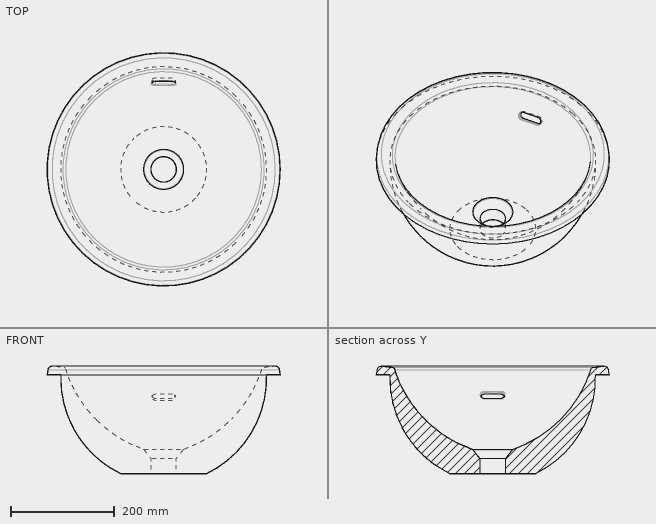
import cadquery as cq
import math

rim_radius = 225.0
total_height = 208.0

rim_thickness = 17.0
rim_bottom = total_height - rim_thickness
rim_draft = 1.5
rim_rounding = 8.5
rim_side_top = 200.2
shelf_inner_height = 205.0
lip_rounding = 5.5

outer_top_radius = 198.5
outer_middle = (163.5, 69.8)
base_radius = 83.0

inner_top_radius = 188.5
inner_middle = (166.5, 151.0)
drain_top_radius = 38.5
drain_top_height = 47.2

drain_hole_radius = 48.5 / 2
drain_edge = 1.5
funnel_depth = 18.0

slot_length = 45.0
slot_height = 13.5
slot_depth = 7.0
slot_tilt = 30.0
slot_edge_rounding = 2.0


def make_bowl():
    """Revolve the half section of the basin, drain included, about Z."""
    rim_side_radius = rim_radius - rim_draft
    return (
        cq.Workplane("XZ")
        .moveTo(drain_hole_radius, 0)
        .lineTo(base_radius, 0)
        .threePointArc(outer_middle, (outer_top_radius, rim_bottom))
        .lineTo(rim_radius, rim_bottom)
        .lineTo(rim_side_radius, rim_side_top)
        .radiusArc((rim_side_radius - rim_rounding, total_height), -rim_rounding)
        .lineTo(inner_top_radius + lip_rounding, shelf_inner_height)
        .radiusArc((inner_top_radius, shelf_inner_height - lip_rounding), -lip_rounding)
        .threePointArc(inner_middle, (drain_top_radius, drain_top_height))
        .lineTo(drain_top_radius - drain_edge, drain_top_height - drain_edge)
        .lineTo(drain_hole_radius, drain_top_height - funnel_depth)
        .close()
        .revolve(360, (0, 0, 0), (0, 1, 0))
    )


def cut_overflow(bowl):
    """Cut the overflow slot into the inner wall and round its mouth."""
    wall_radius, wall_height = inner_middle
    tilt = math.radians(slot_tilt)
    into_wall = cq.Vector(0, math.cos(tilt), -math.sin(tilt))
    mouth_center = cq.Vector(0, wall_radius, wall_height)
    slot = (
        cq.Workplane(cq.Plane(mouth_center, (1, 0, 0), into_wall))
        .workplane(offset=-slot_height)
        .slot2D(slot_length, slot_height)
        .extrude(slot_height + slot_depth)
    )
    pocketed = bowl.cut(slot)
    reach = slot_length / 2 + slot_edge_rounding
    near_slot = cq.selectors.BoxSelector(
        (-reach, wall_radius - slot_height, wall_height - slot_height),
        (reach, wall_radius + slot_height, wall_height + slot_height),
    )
    mouth_edges = [
        edge
        for edge in pocketed.edges(near_slot).vals()
        if (edge.Center() - mouth_center).dot(into_wall) < slot_depth / 2
        and abs(edge.tangentAt(0.5).dot(into_wall)) < math.cos(tilt)
    ]
    return pocketed.newObject(mouth_edges).fillet(slot_edge_rounding)


result = cut_overflow(make_bowl())